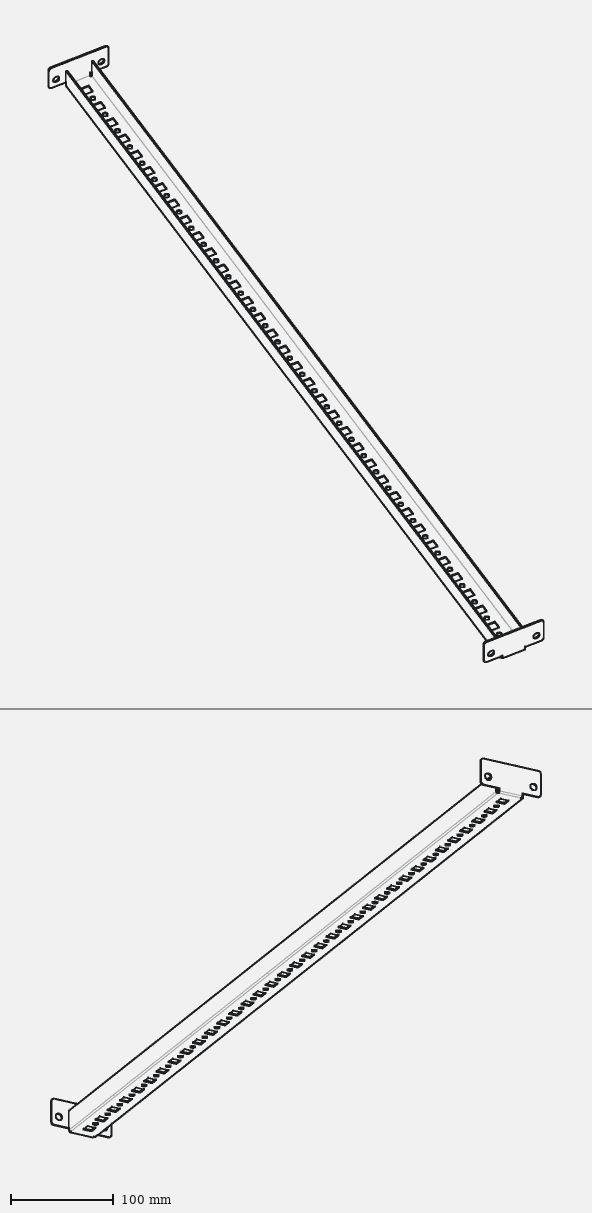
import cadquery as cq

total_length = 885.0
plate_width = 66.0
total_height = 32.4

sheet = 1.5
inner_bend_radius = 0.1
outer_bend_radius = inner_bend_radius + sheet

channel_width = 30.0
channel_height = 22.0
end_relief = 1.5
channel_length = total_length - 2 * (sheet + end_relief)

tab_width = 25.0
plate_bottom = 4.4
plate_height = total_height - plate_bottom
plate_corner_radius = 3.0
plate_hole_diameter = 7.0
plate_hole_spacing = 50.0
plate_hole_height = 14.0

hole_pitch = 25.0
hole_count = 35
square_hole_size = 9.0
round_hole_diameter = 5.0


def make_channel():
    """U-shaped rail, open upwards and running along X between the end reliefs."""
    outer = cq.Workplane("XY").box(channel_length, channel_width, channel_height, centered=(True, True, False))
    outer = outer.edges("|X and <Z").fillet(outer_bend_radius)
    inner = cq.Workplane("XY", origin=(0, 0, sheet)).box(
        channel_length, channel_width - 2 * sheet, channel_height, centered=(True, True, False)
    )
    inner = inner.edges("|X and <Z").fillet(inner_bend_radius)
    return outer.cut(inner)


def cut_floor_holes(channel):
    """Row of square holes along the floor with a round hole midway between neighbours."""
    first_hole = -(hole_count - 1) * hole_pitch / 2
    square_points = [(first_hole + i * hole_pitch, 0) for i in range(hole_count)]
    round_points = [(x + hole_pitch / 2, 0) for x, _ in square_points[:-1]]
    floor = cq.Workplane("XY")
    squares = floor.pushPoints(square_points).rect(square_hole_size, square_hole_size).extrude(sheet)
    rounds = floor.pushPoints(round_points).circle(round_hole_diameter / 2).extrude(sheet)
    return channel.cut(squares).cut(rounds)


def make_tab():
    """Floor tab at the -X end with its upward bend, reaching into the end plate."""
    outer_x = -total_length / 2
    inner_x = outer_x + sheet
    channel_end_x = -channel_length / 2
    profile = (
        cq.Workplane("XZ", origin=(0, tab_width / 2, 0))
        .moveTo(channel_end_x, 0)
        .lineTo(outer_x + outer_bend_radius, 0)
        .radiusArc((outer_x, outer_bend_radius), outer_bend_radius)
        .lineTo(outer_x, plate_bottom)
        .lineTo(inner_x, plate_bottom)
        .lineTo(inner_x, outer_bend_radius)
        .radiusArc((inner_x + inner_bend_radius, sheet), -inner_bend_radius)
        .lineTo(channel_end_x, sheet)
        .close()
    )
    return profile.extrude(tab_width)


def make_plate():
    """Upright plate at the -X end with rounded corners and two fixing holes."""
    blank = cq.Workplane("XY", origin=(-total_length / 2, 0, plate_bottom)).box(
        sheet, plate_width, plate_height, centered=(False, True, False)
    )
    blank = blank.edges("|X").fillet(plate_corner_radius)
    holes = (
        cq.Workplane("YZ", origin=(-total_length / 2, 0, plate_hole_height))
        .pushPoints([(-plate_hole_spacing / 2, 0), (plate_hole_spacing / 2, 0)])
        .circle(plate_hole_diameter / 2)
        .extrude(sheet)
    )
    return blank.cut(holes)


end_piece = make_plate().union(make_tab())
result = cut_floor_holes(make_channel()).union(end_piece).union(end_piece.mirror("YZ")).clean()